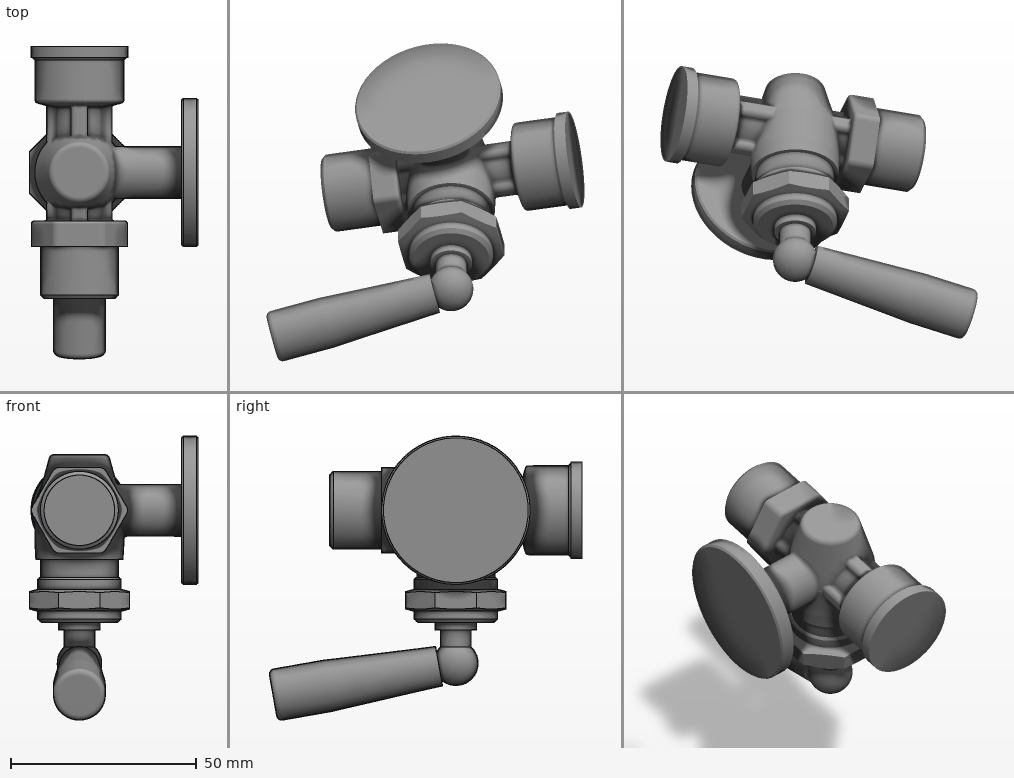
import cadquery as cq
import math


body_top_z = 15.0
body_top_radius = 7.85
body_radius = 12.0
body_edge_fillet = 1.5
seam_turn = 45.0
skirt_top_z = -9.0
skirt_bottom_z = -13.2
skirt_bottom_radius = 11.75
thread_radius = 10.5
collar_top_z = -18.15
collar_radius = 11.25
collar_top_chamfer = 0.5
collar_bottom_z = -30.25
collar_bottom_chamfer = 1.0
spigot_radius = 5.6
spigot_bottom_z = -32.25
stem_radius = 4.15

nut_sides = 8
nut_across_flats = 27.0
nut_top_z = -21.3
nut_bottom_z = -27.2
nut_bevel_angle = 15.0

ball_center_z = -41.2
ball_radius = 6.0
lever_tilt = 10.0
lever_start = 4.6
lever_taper_end = 35.0
lever_end = 50.0
lever_start_radius = 5.4
lever_radius = 7.0
lever_end_fillet = 1.5

arm_radius = 7.0
arm_root_fillet = 0.8
flange_radius = 20.0
flange_thickness = 4.5
flange_face_x = 32.0
flange_chamfer = 0.5

port_reach = 34.0
hex_back_y = -13.0
hex_front_y = -20.0
hex_across_flats = 23.0
hex_corner_fillet = 2.0
hex_back_fillet = 1.0
male_end_chamfer = 1.0

socket_radius = 12.0
socket_shoulder_y = 18.9
socket_cone_angle = 15.5
socket_corner_fillet = 1.0
socket_cone_tip_y = socket_shoulder_y - socket_radius * math.tan(math.radians(socket_cone_angle))
rim_radius = 13.05
rim_thickness = 3.0
rim_step_radius = 12.7
rim_step_length = 0.7

neck_core_radius = 6.7
rib_count = 4
rib_reach = 8.8
rib_width = 4.4
rib_tip_fillet = 1.5
rib_root_fillet = 1.0
neck_end_fillet = 0.5
joint_gap = 0.05


def turned_about_z(points):
    """Revolve an outline of (radius, z) points about Z."""
    return cq.Workplane("XZ").polyline(points).close().revolve(360, (0, 0), (0, 1))


def turned_about_y(points):
    """Revolve an outline of (radius, y) points about Y."""
    return cq.Workplane("XY").polyline(points).close().revolve(360, (0, 0), (0, 1))


def circumscribed_diameter(across_flats, sides):
    return across_flats / math.cos(math.pi / sides)


def make_upper_body():
    body = turned_about_z([
        (0, body_top_z),
        (body_top_radius, body_top_z),
        (body_radius, 0),
        (body_radius, skirt_top_z),
        (skirt_bottom_radius, skirt_bottom_z),
        (0, skirt_bottom_z),
    ])
    body = body.faces(">Z").edges().fillet(body_edge_fillet)
    return body.rotate((0, 0, 0), (0, 0, 1), seam_turn)


def make_bonnet():
    return turned_about_z([
        (0, skirt_bottom_z),
        (thread_radius, skirt_bottom_z),
        (thread_radius, collar_top_z),
        (collar_radius - collar_top_chamfer, collar_top_z),
        (collar_radius, collar_top_z - collar_top_chamfer),
        (collar_radius, collar_bottom_z + collar_bottom_chamfer),
        (collar_radius - collar_bottom_chamfer, collar_bottom_z),
        (spigot_radius, collar_bottom_z),
        (spigot_radius, spigot_bottom_z),
        (stem_radius, spigot_bottom_z),
        (stem_radius, ball_center_z),
        (0, ball_center_z),
    ])


def make_nut():
    corner_diameter = circumscribed_diameter(nut_across_flats, nut_sides)
    blank = (
        cq.Workplane("XY", origin=(0, 0, nut_bottom_z))
        .transformed(rotate=(0, 0, 180 / nut_sides))
        .polygon(nut_sides, corner_diameter)
        .extrude(nut_top_z - nut_bottom_z)
    )
    bevel_radius = corner_diameter / 2
    bevel_drop = (bevel_radius - collar_radius) * math.tan(math.radians(nut_bevel_angle))
    envelope = turned_about_z([
        (0, nut_top_z),
        (collar_radius, nut_top_z),
        (bevel_radius, nut_top_z - bevel_drop),
        (bevel_radius, nut_bottom_z + bevel_drop),
        (collar_radius, nut_bottom_z),
        (0, nut_bottom_z),
    ])
    return blank.intersect(envelope)


def make_lever():
    """Ball with a tapered grip, drawn along -Y and then tilted down."""
    grip = turned_about_y([
        (0, -lever_start),
        (lever_start_radius, -lever_start),
        (lever_radius, -lever_taper_end),
        (lever_radius, -lever_end),
        (0, -lever_end),
    ])
    grip = grip.faces("<Y").edges().fillet(lever_end_fillet)
    lever = cq.Workplane("XY").sphere(ball_radius).union(grip)
    return lever.rotate((0, 0, 0), (1, 0, 0), lever_tilt).translate((0, 0, ball_center_z))


def make_arm():
    arm = cq.Workplane("YZ").circle(arm_radius).extrude(flange_face_x)
    return arm.rotate((0, 0, 0), (1, 0, 0), seam_turn)


def make_flange():
    return (
        cq.Workplane("YZ", origin=(flange_face_x - flange_thickness, 0, 0))
        .circle(flange_radius)
        .extrude(flange_thickness)
        .edges()
        .chamfer(flange_chamfer)
    )


def make_male_port():
    hexagon = (
        cq.Workplane("XZ", origin=(0, hex_back_y, 0))
        .polygon(6, circumscribed_diameter(hex_across_flats, 6))
        .extrude(hex_back_y - hex_front_y)
        .edges("|Y")
        .fillet(hex_corner_fillet)
        .faces(">Y")
        .edges()
        .fillet(hex_back_fillet)
    )
    thread = (
        cq.Workplane("XZ", origin=(0, hex_front_y, 0))
        .circle(thread_radius)
        .extrude(port_reach + hex_front_y)
        .faces("<Y")
        .edges()
        .chamfer(male_end_chamfer)
    )
    return hexagon.union(thread)


def make_female_port():
    rim_y = port_reach - rim_thickness
    socket = turned_about_y([
        (0, socket_cone_tip_y),
        (socket_radius, socket_shoulder_y),
        (socket_radius, rim_y - rim_step_length),
        (rim_step_radius, rim_y),
        (rim_radius, rim_y),
        (rim_radius, port_reach),
        (0, port_reach),
    ])
    shoulder = cq.selectors.BoxSelector(
        (-rim_radius, socket_shoulder_y - joint_gap, -rim_radius),
        (rim_radius, socket_shoulder_y + joint_gap, rim_radius),
        boundingbox=True,
    )
    return socket.edges(shoulder).fillet(socket_corner_fillet)


def make_neck():
    """Round core with evenly spaced round-nosed ribs running along Y."""
    neck_length = socket_shoulder_y - hex_back_y
    section = cq.Workplane("XZ", origin=(0, socket_shoulder_y, 0))
    neck = section.circle(neck_core_radius).extrude(neck_length)
    for rib_index in range(rib_count):
        rib = (
            section.center(rib_reach / 2, 0)
            .rect(rib_reach, rib_width)
            .extrude(neck_length)
            .edges("|Y and >X")
            .fillet(rib_tip_fillet)
            .rotate((0, 0, 0), (0, 1, 0), rib_index * 360 / rib_count)
        )
        neck = neck.union(rib)
    root_limit = math.sqrt(neck_core_radius**2 - (rib_width / 2) ** 2) + joint_gap
    roots = cq.selectors.BoxSelector(
        (-root_limit, hex_back_y, -root_limit),
        (root_limit, socket_shoulder_y, root_limit),
        boundingbox=False,
    )
    return neck.edges("|Y").edges(roots).fillet(rib_root_fillet)


def longest_first(edge):
    """Sorting key: falling length, then place, with mirrored edges counted as equally long."""
    center = edge.Center()
    return (-round(edge.Length(), 3), center.y, center.x)


def blend_joint(solid, low_corner, high_corner, radius):
    """Round the curved joint edges whose centres lie in the box; straight edges and circles stay sharp."""
    box = cq.selectors.BoxSelector(low_corner, high_corner)
    joint = solid.edges(box).filter(lambda edge: edge.geomType() not in ("LINE", "CIRCLE"))
    return joint.sort(longest_first).fillet(radius)


def make_body_with_neck():
    """The joint is blended below and above the horizontal centre plane in turn."""
    body = make_upper_body().union(make_neck())
    reach = body_radius + neck_end_fillet
    body = blend_joint(body, (-reach, -reach, -reach), (reach, reach, -joint_gap), neck_end_fillet)
    return blend_joint(body, (-reach, -reach, joint_gap), (reach, reach, reach), neck_end_fillet)


def add_arm(body):
    return blend_joint(
        body.union(make_arm()),
        (rib_reach + joint_gap, -arm_radius, -arm_radius),
        (body_radius, arm_radius, arm_radius),
        arm_root_fillet,
    )


def add_port(body, port, joint_low_y, joint_high_y):
    """Blend the whole closed outline where the neck runs into a port."""
    reach = rib_reach + joint_gap
    joint = cq.selectors.BoxSelector(
        (-reach, joint_low_y, -reach),
        (reach, joint_high_y, reach),
        boundingbox=True,
    )
    return body.union(port).edges(joint).fillet(neck_end_fillet)


result = add_arm(make_body_with_neck())
result = add_port(result, make_male_port(), hex_back_y - joint_gap, hex_back_y + joint_gap)
result = add_port(result, make_female_port(), socket_cone_tip_y, socket_shoulder_y)
for piece in (make_flange(), make_bonnet(), make_nut(), make_lever()):
    result = result.union(piece)